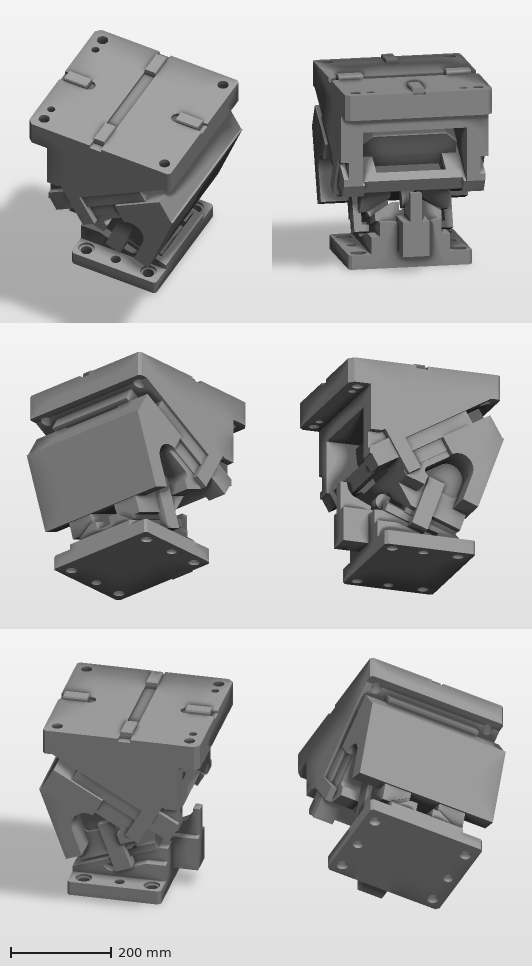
import cadquery as cq
import math


PLATE_LENGTH = 320.3
PLATE_WIDTH = 300.0
PLATE_BOTTOM = 325.0
PLATE_TOP = 376.5
LEFT_CORNER = 10.0
RIGHT_CORNER = 5.0

DRIVE_ANGLE = math.radians(30)
DRIVE_ORIGIN = (106.5, 179.5)
RETURN_ANGLE = math.radians(-20)
RETURN_ORIGIN = (101.5, 93.7)


def placed(origin, angle, along, above):
    """XZ position of a point given along and above an inclined line."""
    x = origin[0] + along * math.cos(angle) - above * math.sin(angle)
    z = origin[1] + along * math.sin(angle) + above * math.cos(angle)
    return (x, z)


def drive(along, above):
    """Point measured from the sliding plane between driver and slide."""
    return placed(DRIVE_ORIGIN, DRIVE_ANGLE, along, above)


def back(along, above):
    """Point measured from the sloping top of the base."""
    return placed(RETURN_ORIGIN, RETURN_ANGLE, along, above)


def upright(along, above):
    """Point measured directly in X and Z."""
    return (along, above)


def box_outline(frame, start, end, bottom, top):
    """Corners of a rectangle lying along one of the frames above."""
    return [frame(start, bottom), frame(end, bottom), frame(end, top), frame(start, top)]


def prism(points, half_width):
    """XZ outline extruded symmetrically about Y = 0."""
    return cq.Workplane("XZ").polyline(points).close().extrude(half_width, both=True)


def pair(points, inner, outer):
    """XZ outline extruded from inner to outer on both sides of Y = 0."""
    one = cq.Workplane("XZ", origin=(0, -inner, 0)).polyline(points).close().extrude(outer - inner)
    return one.union(one.mirror("XZ"))


LEG_LEFT = 44.5
LEG_BOTTOM = 180.0
LEG_INNER = 105.5
LEG_OUTER = PLATE_WIDTH / 2
ROOF_HEIGHT = 289.5

BAR_THICKNESS = 29.0
BAR_START = -50.0
BAR_END = 180.5
BAR_INNER = 70.5
BAR_OUTER = 144.0

NOTCH_CEILING = 229.2
NOTCH_FACE = 134.0
NOTCH_HEEL = 7.5
NOTCH_TOP = 62.2
FOOT_TOP = 43.8

HOOK_LENGTH = 29.5
HOOK_DEPTH = 38.5
HOOK_INNER = 137.5

CROSSBAR_HALF = 100.5
CROSSBAR_THICKNESS = 30.0
CROSSBAR_START = -39.5
CROSSBAR_END = -15.0
STOP_START = 192.0
STOP_END = 230.5

BLOCK_START = 33.8
BLOCK_HEIGHT = 53.5
BLOCK_HALF = 99.0
BLOCK_BEVEL = 25.0
TONGUE_HALF = 70.3
TONGUE_START = 35.5

KEY_SLOT_WIDTH = 25.0
KEY_SLOT_DEPTH = 6.5
CROSS_SLOT_X = 153.2
END_SLOT_LENGTH = 73.5
KEY_LENGTH = 50.0
KEY_TOP = 384.0
KEY_BEVEL_WIDTH = 1.5
KEY_BEVEL_HEIGHT = 3.0
KEY_INSET = 15.5
LEFT_KEY_START = 10.8
RIGHT_KEY_END = 311.5

BOLT_DIAMETER = 22.3
BOLT_LEFT = 25.5
BOLT_RIGHT = 296.0
BOLT_Y = 125.0
DOWEL_DIAMETER = 16.0
DOWEL_Y = 95.0

UNDERSIDE_END = (
    PLATE_BOTTOM - DRIVE_ORIGIN[1] - BAR_THICKNESS * math.cos(DRIVE_ANGLE)
) / math.sin(DRIVE_ANGLE)


def make_plate():
    height = PLATE_TOP - PLATE_BOTTOM
    plate = cq.Workplane("XY", origin=(0, 0, PLATE_BOTTOM)).box(
        PLATE_LENGTH, PLATE_WIDTH, height, centered=(False, True, False)
    )
    plate = plate.edges("|Z and <X").chamfer(LEFT_CORNER)
    return plate.edges("|Z and >X").chamfer(RIGHT_CORNER)


def make_legs():
    outline = [
        (LEG_LEFT, PLATE_BOTTOM),
        (LEG_LEFT, LEG_BOTTOM),
        drive(BAR_START, BAR_THICKNESS),
        drive(UNDERSIDE_END, BAR_THICKNESS),
    ]
    legs = pair(outline, LEG_INNER, LEG_OUTER)
    ceiling = [
        (0, NOTCH_CEILING),
        drive(-NOTCH_HEEL, NOTCH_TOP),
        drive(0, NOTCH_TOP),
    ]
    upper_notch = ceiling + [drive(0, FOOT_TOP), drive(2 * BAR_START, FOOT_TOP)]
    full_notch = ceiling + [drive(0, 0), (0, DRIVE_ORIGIN[1] - HOOK_DEPTH)]
    legs = legs.cut(pair(upper_notch, NOTCH_FACE, LEG_OUTER))
    return legs.cut(pair(full_notch, BAR_OUTER, LEG_OUTER))


def make_roof():
    """Web that joins the two legs under the plate."""
    roof_end = (
        ROOF_HEIGHT - DRIVE_ORIGIN[1] - BAR_THICKNESS * math.cos(DRIVE_ANGLE)
    ) / math.sin(DRIVE_ANGLE)
    outline = [
        (LEG_LEFT, PLATE_BOTTOM),
        (LEG_LEFT, ROOF_HEIGHT),
        drive(roof_end, BAR_THICKNESS),
        drive(UNDERSIDE_END, BAR_THICKNESS),
    ]
    return prism(outline, LEG_INNER)


def make_center_block():
    """Bevelled block between the legs, lying on the bars, with a tongue that fits between them."""
    plane = cq.Plane(
        origin=(DRIVE_ORIGIN[0], 0, DRIVE_ORIGIN[1]),
        xDir=(0, 1, 0),
        normal=(math.cos(DRIVE_ANGLE), 0, math.sin(DRIVE_ANGLE)),
    )
    top = BAR_THICKNESS + BLOCK_HEIGHT
    section = [
        (-BLOCK_HALF, BAR_THICKNESS),
        (BLOCK_HALF, BAR_THICKNESS),
        (BLOCK_HALF, top - BLOCK_BEVEL),
        (BLOCK_HALF - BLOCK_BEVEL, top),
        (BLOCK_BEVEL - BLOCK_HALF, top),
        (-BLOCK_HALF, top - BLOCK_BEVEL),
    ]
    block = cq.Workplane(plane).workplane(offset=BLOCK_START).polyline(section).close()
    block = block.extrude(BAR_END - BLOCK_START)
    tongue = prism(box_outline(drive, TONGUE_START, BAR_END, 0, BAR_THICKNESS), TONGUE_HALF)
    return block.union(tongue)


def make_key(length, width):
    """Upright key standing in a slot of the plate, bevelled along both long top edges."""
    bottom = PLATE_TOP - KEY_SLOT_DEPTH
    shoulder = KEY_TOP - KEY_BEVEL_HEIGHT
    half = width / 2
    section = [
        (-half, bottom),
        (half, bottom),
        (half, shoulder),
        (half - KEY_BEVEL_WIDTH, KEY_TOP),
        (KEY_BEVEL_WIDTH - half, KEY_TOP),
        (-half, shoulder),
    ]
    return cq.Workplane("XZ").polyline(section).close().extrude(length / 2, both=True)


def cut_key_slots(body):
    floor = PLATE_TOP - KEY_SLOT_DEPTH
    cutter = cq.Workplane("XY", origin=(0, 0, floor))
    body = body.cut(cutter.center(CROSS_SLOT_X, 0).rect(KEY_SLOT_WIDTH, PLATE_WIDTH).extrude(KEY_TOP))
    for edge_x in (0, PLATE_LENGTH):
        slot = cutter.center(edge_x, 0).slot2D(2 * END_SLOT_LENGTH, KEY_SLOT_WIDTH).extrude(KEY_TOP)
        body = body.cut(slot)
    return body


def add_keys(body):
    key = make_key(KEY_LENGTH, KEY_SLOT_WIDTH)
    cross_y = LEG_OUTER - KEY_INSET - KEY_LENGTH / 2
    for y in (-cross_y, cross_y):
        body = body.union(key.translate((CROSS_SLOT_X, y, 0)))
    turned = key.rotate((0, 0, 0), (0, 0, 1), 90)
    for x in (LEFT_KEY_START + KEY_LENGTH / 2, RIGHT_KEY_END - KEY_LENGTH / 2):
        body = body.union(turned.translate((x, 0, 0)))
    return body


def drill_plate(body):
    bolts = [(x, side * BOLT_Y) for x in (BOLT_LEFT, BOLT_RIGHT) for side in (-1, 1)]
    dowels = [(BOLT_LEFT, side * DOWEL_Y) for side in (-1, 1)]
    below = cq.Workplane("XY", origin=(0, 0, ROOF_HEIGHT))
    body = body.cut(below.pushPoints(bolts).circle(BOLT_DIAMETER / 2).extrude(KEY_TOP))
    return body.cut(below.pushPoints(dowels).circle(DOWEL_DIAMETER / 2).extrude(KEY_TOP))


def make_driver():
    body = make_plate().union(make_legs()).union(make_roof()).union(make_center_block())
    bar = box_outline(drive, CROSSBAR_END, BAR_END, 0, BAR_THICKNESS)
    bar_nose = box_outline(drive, BAR_START, CROSSBAR_END, 0, BAR_THICKNESS)
    crossbar = box_outline(drive, CROSSBAR_START, CROSSBAR_END, 0, CROSSBAR_THICKNESS)
    stop = box_outline(drive, STOP_START, STOP_END, 0, BAR_THICKNESS)
    hook = box_outline(drive, 0, HOOK_LENGTH, -HOOK_DEPTH, BAR_THICKNESS)
    body = body.union(pair(bar, BAR_INNER, BAR_OUTER)).union(pair(bar_nose, CROSSBAR_HALF, BAR_OUTER))
    body = body.union(prism(crossbar, CROSSBAR_HALF)).union(prism(stop, CROSSBAR_HALF))
    body = body.union(pair(hook, HOOK_INNER, LEG_OUTER))
    return drill_plate(add_keys(cut_key_slots(body)))


GUIDE_START = 4.0
GUIDE_END = 164.5
GUIDE_HALF = 67.5
GUIDE_SIDE = 15.7
GUIDE_TOP = 37.0
GUIDE_TOP_HALF = 32.0

SLIDE_TOP_LENGTH = 220.8
SLIDE_END_DEPTH = 51.5
TIP_ALONG = 161.0
TIP_ABOVE = 218.0
CORE_HALF = 90.0
CORE_END = 156.3
SLIDE_FRONT_DEPTH = 90.5
CORE_BOTTOM = 23.0

FLANGE_HALF = 137.5
FLANGE_THICKNESS = 27.3
FRONT_BLOCK_HALF = 134.8
FRONT_BLOCK_END = 46.0
FRONT_BLOCK_BOTTOM = 57.5

CHEEK_START = 105.2
CHEEK_DEPTH = 40.0
CHEEK_INNER_FACE = 126.5
CHEEK_WALL_TOP = 115.2
CHEEK_BOTTOM = 57.5

RECESS_FLOOR = 84.5
RECESS_BOTTOM = 78.7
RECESS_SMALL_RADIUS = 10.0
RECESS_BIG_RADIUS = 30.5

CHANNEL_DEPTH = 6.5

VEE_TOP = 46.5
VEE_HALF = 75.3
PAD_START = 41.0
PAD_END = 154.8
PAD_BOTTOM = 14.2
PAD_EDGE = 70.5

NOSE_ALONG = 7.5
NOSE_ABOVE = 41.5
NOSE_RADIUS = 17.5
NOSE_HALF = 13.0
NOSE_FLAT = 17.0

STRAP_START = 57.0
STRAP_END = 91.5
STRAP_BOTTOM = -13.5
STRAP_TOP = 94.0
STRAP_OUTER = 100.5
STRAP_LIP_INNER = 70.5
STRAP_LIP_TOP = 0.5


def slope_pair(section, start, end):
    """YZ section on the +Y side, extruded down the slope of the base and mirrored to the -Y side."""
    plane = cq.Plane(
        origin=(RETURN_ORIGIN[0], 0, RETURN_ORIGIN[1]),
        xDir=(0, 1, 0),
        normal=(math.cos(RETURN_ANGLE), 0, math.sin(RETURN_ANGLE)),
    )
    one = cq.Workplane(plane).workplane(offset=start).polyline(section).close().extrude(end - start)
    return one.union(one.mirror("XZ"))


def make_core():
    outline = [
        drive(0, 0),
        drive(SLIDE_TOP_LENGTH, 0),
        drive(SLIDE_TOP_LENGTH, -SLIDE_END_DEPTH),
        back(TIP_ALONG, TIP_ABOVE),
        back(TIP_ALONG, CHEEK_BOTTOM),
        back(CORE_END, CHEEK_BOTTOM),
        back(CORE_END, CORE_BOTTOM),
        drive(0, -SLIDE_FRONT_DEPTH),
    ]
    return prism(outline, CORE_HALF)


def make_flanges():
    flange = box_outline(drive, 0, CHEEK_START, -FLANGE_THICKNESS, 0)
    front_block = [
        drive(0, 0),
        drive(0, -HOOK_DEPTH),
        back(FRONT_BLOCK_END, FRONT_BLOCK_BOTTOM),
        back(FRONT_BLOCK_END, RECESS_BOTTOM + RECESS_SMALL_RADIUS),
        drive(CHEEK_START, -CHEEK_DEPTH),
        drive(CHEEK_START, 0),
    ]
    return pair(flange, 0, FLANGE_HALF).union(pair(front_block, 0, FRONT_BLOCK_HALF))


def make_cheeks():
    outline = [
        drive(CHEEK_START, 0),
        drive(SLIDE_TOP_LENGTH, 0),
        drive(SLIDE_TOP_LENGTH, -SLIDE_END_DEPTH),
        back(TIP_ALONG, TIP_ABOVE),
        back(TIP_ALONG, CHEEK_BOTTOM),
        back(CHEEK_INNER_FACE, CHEEK_BOTTOM),
        back(CHEEK_INNER_FACE, CHEEK_WALL_TOP),
        drive(CHEEK_START, -CHEEK_DEPTH),
    ]
    return pair(outline, CORE_HALF, LEG_OUTER)


def make_recess():
    """Rounded triangular pocket in each side, its upper edge parallel to the drive."""
    steepness = math.tan(DRIVE_ANGLE - RETURN_ANGLE)
    corner_x, corner_z = drive(CHEEK_START, -CHEEK_DEPTH)
    run = corner_x - RETURN_ORIGIN[0]
    rise = corner_z - RETURN_ORIGIN[1]
    corner_along = run * math.cos(RETURN_ANGLE) + rise * math.sin(RETURN_ANGLE)
    corner_above = rise * math.cos(RETURN_ANGLE) - run * math.sin(RETURN_ANGLE)
    left = corner_along - (corner_above - RECESS_BOTTOM) / steepness
    apex = corner_above + (CHEEK_INNER_FACE - corner_along) * steepness
    outline = [
        back(left, RECESS_BOTTOM),
        back(CHEEK_INNER_FACE, RECESS_BOTTOM),
        back(CHEEK_INNER_FACE, apex),
    ]
    recess = pair(outline, RECESS_FLOOR, LEG_OUTER)
    recess = recess.edges("|Y and <X").fillet(RECESS_SMALL_RADIUS)
    recess = recess.edges("|Y and <Z").fillet(RECESS_SMALL_RADIUS)
    return recess.edges("|Y and >Z").fillet(RECESS_BIG_RADIUS)


def make_vee():
    """Space under the slide that clears the roof guide."""
    section = [
        (0, 0),
        (0, FRONT_BLOCK_BOTTOM),
        (GUIDE_TOP_HALF, FRONT_BLOCK_BOTTOM),
        (GUIDE_TOP_HALF, VEE_TOP),
        (VEE_HALF, CORE_BOTTOM),
        (VEE_HALF, 0),
    ]
    return slope_pair(section, 0, GUIDE_END)


def make_pads():
    """Wear pads that rest on the two slopes of the roof guide."""
    section = [
        (GUIDE_TOP_HALF, VEE_TOP),
        (GUIDE_TOP_HALF, GUIDE_TOP),
        (GUIDE_HALF, GUIDE_SIDE),
        (GUIDE_HALF, PAD_BOTTOM),
        (PAD_EDGE, PAD_BOTTOM),
        (VEE_HALF, CORE_BOTTOM),
    ]
    return slope_pair(section, PAD_START, PAD_END)


def make_straps():
    """Return straps whose lips reach into the side grooves of the base."""
    strap = box_outline(back, STRAP_START, STRAP_END, STRAP_BOTTOM, STRAP_TOP)
    lip = box_outline(back, STRAP_START, STRAP_END, STRAP_BOTTOM, STRAP_LIP_TOP)
    return pair(strap, RECESS_FLOOR, STRAP_OUTER).union(pair(lip, STRAP_LIP_INNER, STRAP_OUTER))


def make_nose():
    """Round nose on the front of the slide, cut flat on the side next to the slide."""
    x, z = back(NOSE_ALONG, NOSE_ABOVE)
    disc = cq.Workplane("XZ").center(x, z).circle(NOSE_RADIUS).extrude(NOSE_HALF, both=True)
    kept = box_outline(
        back,
        NOSE_ALONG - NOSE_RADIUS,
        NOSE_FLAT,
        NOSE_ABOVE - NOSE_RADIUS,
        NOSE_ABOVE + NOSE_RADIUS,
    )
    return disc.intersect(prism(kept, NOSE_HALF))


def make_slide():
    body = make_core().union(make_flanges()).union(make_cheeks()).cut(make_recess())
    channel = box_outline(drive, 0, SLIDE_TOP_LENGTH, -CHANNEL_DEPTH, BAR_THICKNESS)
    body = body.cut(prism(channel, TONGUE_HALF)).cut(make_vee()).union(make_pads())
    return body.union(make_nose()).union(make_straps())


FOOT_LEFT = 84.5
FOOT_RIGHT = 275.7
FOOT_HEIGHT = 29.0
FOOT_HALF = 125.5
FOOT_CORNER_LEFT = 6.0
FOOT_CORNER_RIGHT = 4.5
PEDESTAL_HALF = 80.3
NECK_HALF = 62.2
LEDGE_HEIGHT = 64.5
GROOVE_FLOOR = -19.2
GROOVE_CEILING = -0.8
GROOVE_END = 118.5
GROOVE_RADIUS = 17.3
GROOVE_OPEN_END = 93.0
WALL_TOP = 9.5
GUIDE_SLOT_HALF = 17.5
GUIDE_SLOT_FLOOR = 20.0

BRACKET_LEFT = 31.0
BRACKET_RIGHT = 95.5
BRACKET_BOTTOM = 33.8
BRACKET_SHOULDER = 104.5
BRACKET_HALF = 27.3
FIN_HALF = 11.5
FIN_TOP = 163.2
FIN_TOP_RIGHT = 45.0
FIN_ARC_MIDDLE = (48.8, 146.5)
FIN_ARC_END = (58.5, 135.5)
FIN_END_HEIGHT = 118.5

SCREW_LEFT = 108.0
SCREW_RIGHT = 247.3
SCREW_Y = 101.8
SCREW_DIAMETER = 22.5
COUNTERBORE_DIAMETER = 33.0
COUNTERBORE_DEPTH = 5.0
PIN_X = 174.0
PIN_DIAMETER = 20.5


def make_foot():
    foot = cq.Workplane("XY").box(
        FOOT_RIGHT - FOOT_LEFT, 2 * FOOT_HALF, FOOT_HEIGHT, centered=(False, True, False)
    )
    foot = foot.translate((FOOT_LEFT, 0, 0))
    foot = foot.edges("|Z and <X").chamfer(FOOT_CORNER_LEFT)
    foot = foot.edges("|Z and >X").chamfer(FOOT_CORNER_RIGHT)
    screws = [(x, side * SCREW_Y) for x in (SCREW_LEFT, SCREW_RIGHT) for side in (-1, 1)]
    pins = [(PIN_X, side * SCREW_Y) for side in (-1, 1)]
    top = foot.faces(">Z").workplane(origin=(0, 0, FOOT_HEIGHT))
    foot = top.pushPoints(screws).cboreHole(SCREW_DIAMETER, COUNTERBORE_DIAMETER, COUNTERBORE_DEPTH)
    return foot.faces(">Z").workplane(origin=(0, 0, FOOT_HEIGHT)).pushPoints(pins).hole(PIN_DIAMETER)


def slope_at_x(x, above):
    """Point at a given X on the line a set distance above the sloping top of the base."""
    along = (x - RETURN_ORIGIN[0] + above * math.sin(RETURN_ANGLE)) / math.cos(RETURN_ANGLE)
    return back(along, above)


def make_pedestal():
    outline = [
        (FOOT_LEFT, 0),
        (FOOT_RIGHT, 0),
        slope_at_x(FOOT_RIGHT, WALL_TOP),
        back(GUIDE_END, WALL_TOP),
        back(GUIDE_END, 0),
        RETURN_ORIGIN,
        (FOOT_LEFT, RETURN_ORIGIN[1]),
    ]
    walls = box_outline(back, GROOVE_OPEN_END, GUIDE_END, GROOVE_CEILING, WALL_TOP)
    pedestal = prism(outline, PEDESTAL_HALF)
    return pedestal.union(pair(walls, NECK_HALF, PEDESTAL_HALF))


def cut_grooves(pedestal):
    """Side grooves: a flat open ledge that turns down the slope and ends in a covered pocket."""
    ledge_turn = RETURN_ORIGIN[0] + (
        RETURN_ORIGIN[1] + GROOVE_FLOOR / math.cos(RETURN_ANGLE) - LEDGE_HEIGHT
    ) / math.tan(-RETURN_ANGLE)
    open_part = [
        (FOOT_LEFT, LEDGE_HEIGHT),
        (ledge_turn, LEDGE_HEIGHT),
        back(GROOVE_OPEN_END, GROOVE_FLOOR),
        back(GROOVE_OPEN_END, WALL_TOP),
        (FOOT_LEFT, BRACKET_SHOULDER),
    ]
    pocket = box_outline(back, GROOVE_OPEN_END, GROOVE_END, GROOVE_FLOOR, GROOVE_CEILING)
    covered = pair(pocket, NECK_HALF, PEDESTAL_HALF)
    covered = covered.edges("|Y and <Z").fillet(GROOVE_RADIUS)
    return pedestal.cut(pair(open_part, NECK_HALF, PEDESTAL_HALF)).cut(covered)


def make_guide():
    section = [
        (0, 0),
        (GUIDE_HALF, 0),
        (GUIDE_HALF, GUIDE_SIDE),
        (GUIDE_TOP_HALF, GUIDE_TOP),
        (0, GUIDE_TOP),
    ]
    guide = slope_pair(section, GUIDE_START, GUIDE_END)
    slot = box_outline(back, GUIDE_START, GUIDE_END, GUIDE_SLOT_FLOOR, GUIDE_TOP)
    return guide.cut(prism(slot, GUIDE_SLOT_HALF))


def make_bracket():
    """Block on the left end with a thin fin whose hollow edge faces the round nose of the slide."""
    block = prism(
        box_outline(upright, BRACKET_LEFT, BRACKET_RIGHT, BRACKET_BOTTOM, BRACKET_SHOULDER), BRACKET_HALF
    )
    fin = (
        cq.Workplane("XZ")
        .moveTo(BRACKET_LEFT, BRACKET_SHOULDER)
        .lineTo(BRACKET_LEFT, FIN_TOP)
        .lineTo(FIN_TOP_RIGHT, FIN_TOP)
        .threePointArc(FIN_ARC_MIDDLE, FIN_ARC_END)
        .lineTo(BRACKET_RIGHT, FIN_END_HEIGHT)
        .lineTo(BRACKET_RIGHT, BRACKET_SHOULDER)
        .close()
        .extrude(FIN_HALF, both=True)
    )
    return block.union(fin)


def make_base():
    body = cut_grooves(make_pedestal())
    return make_foot().union(body).union(make_guide()).union(make_bracket())


driver = make_driver()
slide = make_slide()
base = make_base()

result = cq.Compound.makeCompound([driver.val(), slide.val(), base.val()])